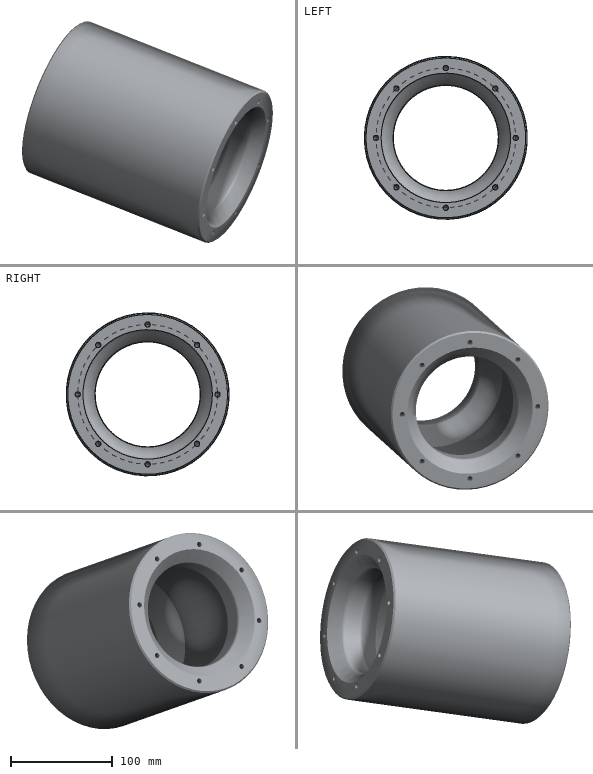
import cadquery as cq
import math

length = 196.0
outer_radius = 80.0
outer_chamfer = 1.5

mouth_radius = 63.5
mouth_depth = 12.0
land_radius = 51.5
land_edge_fillet = 3.0
land_end = 31.4
flare_end = 56.3
cavity_radius = 68.6

hole_count = 8
hole_circle_radius = 68.6
hole_radius = 2.5
hole_depth = 19.6
drill_point_angle = 118.0


def revolve_about_x(outline):
    """Solid of revolution from a closed outline of (x, radius) points."""
    return cq.Workplane("XY").polyline(outline).close().revolve(360, (0, 0, 0), (1, 0, 0))


def outer_body():
    cylinder = cq.Workplane("YZ").circle(outer_radius).extrude(length)
    return cylinder.faces("<X or >X").chamfer(outer_chamfer)


def bore_cutter():
    """Through bore, symmetric about the middle of the tube."""
    left_profile = [
        (0, mouth_radius),
        (mouth_depth, land_radius),
        (land_end, land_radius),
        (flare_end, cavity_radius),
    ]
    right_profile = [(length - x, radius) for x, radius in reversed(left_profile)]
    cutter = revolve_about_x([(0, 0)] + left_profile + right_profile + [(length, 0)])
    land_edges = cutter.edges(cq.selectors.RadiusNthSelector(0))
    return land_edges.fillet(land_edge_fillet)


def end_hole_cutters():
    """Ring of drilled holes with conical bottoms, entering the left end face."""
    tip_length = hole_radius / math.tan(math.radians(drill_point_angle / 2))
    drill = revolve_about_x([
        (0, 0),
        (0, hole_radius),
        (hole_depth, hole_radius),
        (hole_depth + tip_length, 0),
    ]).translate((0, 0, hole_circle_radius))
    cutters = cq.Workplane("XY")
    for index in range(hole_count):
        cutters = cutters.add(drill.rotate((0, 0, 0), (1, 0, 0), index * 360 / hole_count))
    return cutters.combine()


left_holes = end_hole_cutters()
right_holes = left_holes.mirror("YZ").translate((length, 0, 0))

result = outer_body().cut(bore_cutter()).cut(left_holes).cut(right_holes)